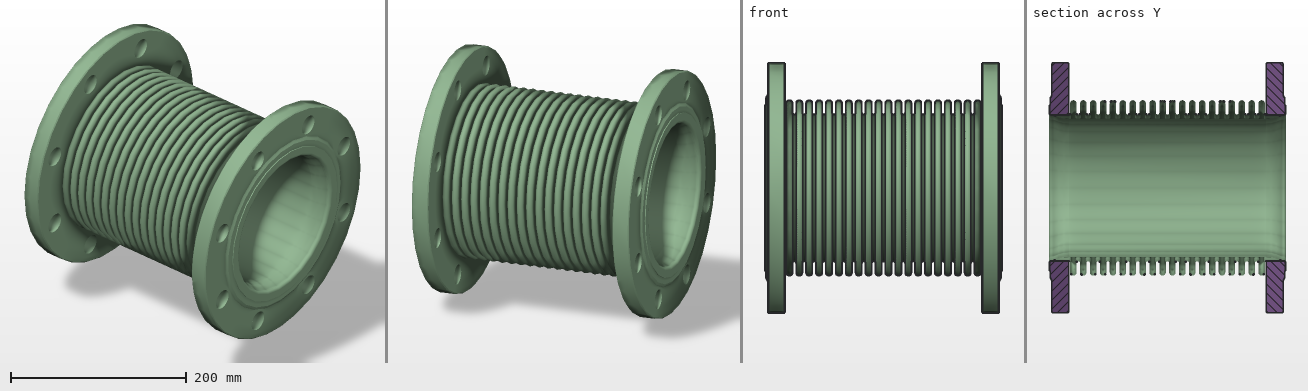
import cadquery as cq
import math

TOTAL_LENGTH = 270.0
WALL = 1.0

FLANGE_DIAMETER = 285.0
FLANGE_THICKNESS = 20.0
FLANGE_CHAMFER = 1.0
FLANGE_BORE = 168.5
RAISED_FACE_DIAMETER = 212.0
RAISED_FACE_HEIGHT = 2.0
RAISED_FACE_TAPER = 3.7
BORE_EDGE_RADIUS = 2.0
BOLT_HOLE_DIAMETER = 23.0
BOLT_CIRCLE_DIAMETER = 240.0
BOLT_COUNT = 8

LIP_DIAMETER = 190.0
WAVE_COUNT = 20
WAVE_SPAN = 214.3
WAVE_PITCH = WAVE_SPAN / (WAVE_COUNT - 1)
WAVE_WIDTH = 7.5
CREST_DIAMETER = 201.2

LINER_DIAMETER = 156.0
WIDE_BEND_RADIUS = 4.0
NARROW_BEND_RADIUS = 34.2
STEP_SETBACK = 3.7

HALF_LENGTH = TOTAL_LENGTH / 2
RAISED_FACE_X = HALF_LENGTH - WALL
FLANGE_FRONT_X = RAISED_FACE_X - RAISED_FACE_HEIGHT
FLANGE_BACK_X = FLANGE_FRONT_X - FLANGE_THICKNESS
BORE_EDGE_X = RAISED_FACE_X - BORE_EDGE_RADIUS
STEP_WIDE_X = HALF_LENGTH - STEP_SETBACK
LAST_WAVE_X = WAVE_SPAN / 2

FLANGE_RADIUS = FLANGE_DIAMETER / 2
BORE_RADIUS = FLANGE_BORE / 2
NECK_RADIUS = BORE_RADIUS - WALL
BORE_EDGE_CENTER_RADIUS = BORE_RADIUS + BORE_EDGE_RADIUS
LIP_BEND_RADIUS = BORE_EDGE_RADIUS + WALL
LINER_RADIUS = LINER_DIAMETER / 2


def revolve_about_x(profile):
    """Turn a closed profile of (x, radius) points fully around the X axis."""
    return profile.close().revolve(360, (0, 0, 0), (1, 0, 0))


def point_on_circle(x, radius, circle_radius, angle):
    """Point (x, radius) on a circle around the given center, at an angle in degrees."""
    turn = math.radians(angle)
    return (x + circle_radius * math.cos(turn), radius + circle_radius * math.sin(turn))


def make_flange():
    """Flange of the +X end, with its raised face outward."""
    raised_foot = RAISED_FACE_DIAMETER / 2
    profile = (
        cq.Workplane("XY")
        .moveTo(FLANGE_BACK_X, BORE_RADIUS)
        .lineTo(FLANGE_BACK_X, FLANGE_RADIUS - FLANGE_CHAMFER)
        .lineTo(FLANGE_BACK_X + FLANGE_CHAMFER, FLANGE_RADIUS)
        .lineTo(FLANGE_FRONT_X - FLANGE_CHAMFER, FLANGE_RADIUS)
        .lineTo(FLANGE_FRONT_X, FLANGE_RADIUS - FLANGE_CHAMFER)
        .lineTo(FLANGE_FRONT_X, raised_foot)
        .lineTo(RAISED_FACE_X, raised_foot - RAISED_FACE_TAPER)
        .lineTo(RAISED_FACE_X, BORE_EDGE_CENTER_RADIUS)
        .threePointArc(
            point_on_circle(BORE_EDGE_X, BORE_EDGE_CENTER_RADIUS, BORE_EDGE_RADIUS, -45),
            (BORE_EDGE_X, BORE_RADIUS),
        )
    )
    bolt_holes = (
        cq.Workplane("YZ")
        .workplane(offset=FLANGE_BACK_X)
        .polarArray(BOLT_CIRCLE_DIAMETER / 2, 180 / BOLT_COUNT, 360, BOLT_COUNT)
        .circle(BOLT_HOLE_DIAMETER / 2)
        .extrude(FLANGE_THICKNESS)
    )
    return revolve_about_x(profile).cut(bolt_holes)


def trace_waves(profile, inset):
    """Continue a profile from -X to +X along the waves, moved into the sheet by the inset."""
    half_width = WAVE_WIDTH / 2 - inset
    crest = CREST_DIAMETER / 2 - inset
    root = BORE_RADIUS - inset
    root_bend = WAVE_PITCH / 2 - half_width
    end_bend = FLANGE_BACK_X - LAST_WAVE_X - half_width
    profile = profile.lineTo(-FLANGE_BACK_X, root)
    for index in range(WAVE_COUNT):
        x = index * WAVE_PITCH - LAST_WAVE_X
        left = x - half_width
        right = x + half_width
        left_bend = end_bend if index == 0 else root_bend
        right_bend = end_bend if index == WAVE_COUNT - 1 else root_bend
        profile = (
            profile
            .threePointArc(
                point_on_circle(left - left_bend, root + left_bend, left_bend, -45),
                (left, root + left_bend),
            )
            .lineTo(left, crest - half_width)
            .threePointArc((x, crest), (right, crest - half_width))
            .lineTo(right, root + right_bend)
            .threePointArc(
                point_on_circle(right + right_bend, root + right_bend, right_bend, -135),
                (right + right_bend, root),
            )
        )
    return profile


def make_bellows_outside():
    """Everything within the outer surface of the lips, necks and waves."""
    lip_radius = LIP_DIAMETER / 2
    bend_middle = point_on_circle(BORE_EDGE_X, BORE_EDGE_CENTER_RADIUS, BORE_EDGE_RADIUS, -45)
    profile = (
        cq.Workplane("XY")
        .moveTo(-HALF_LENGTH, 0)
        .lineTo(-HALF_LENGTH, lip_radius)
        .lineTo(-RAISED_FACE_X, lip_radius)
        .lineTo(-RAISED_FACE_X, BORE_EDGE_CENTER_RADIUS)
        .threePointArc((-bend_middle[0], bend_middle[1]), (-BORE_EDGE_X, BORE_RADIUS))
    )
    profile = (
        trace_waves(profile, 0)
        .lineTo(BORE_EDGE_X, BORE_RADIUS)
        .threePointArc(bend_middle, (RAISED_FACE_X, BORE_EDGE_CENTER_RADIUS))
        .lineTo(RAISED_FACE_X, lip_radius)
        .lineTo(HALF_LENGTH, lip_radius)
        .lineTo(HALF_LENGTH, 0)
    )
    return revolve_about_x(profile)


def make_bellows_inside():
    """Space within the waves and necks, as far as the wide ends of the liner steps."""
    profile = cq.Workplane("XY").moveTo(-STEP_WIDE_X, 0).lineTo(-STEP_WIDE_X, NECK_RADIUS)
    profile = (
        trace_waves(profile, WALL)
        .lineTo(STEP_WIDE_X, NECK_RADIUS)
        .lineTo(STEP_WIDE_X, 0)
    )
    return revolve_about_x(profile)


def liner_step(offset):
    """Points of the +X step, narrow end first, on the liner's inside moved out by the offset.

    The step is two arcs that touch: a large one at the liner and a small one at the neck.
    """
    wide_bend = WIDE_BEND_RADIUS + offset
    narrow_bend = NARROW_BEND_RADIUS - offset
    wide_center = NECK_RADIUS - WIDE_BEND_RADIUS
    narrow_center = LINER_RADIUS + NARROW_BEND_RADIUS
    center_distance = wide_bend + narrow_bend
    arc_angle = math.degrees(math.acos((narrow_center - wide_center) / center_distance))
    narrow_x = STEP_WIDE_X - center_distance * math.sin(math.radians(arc_angle))
    return [
        (narrow_x, narrow_center - narrow_bend),
        point_on_circle(narrow_x, narrow_center, narrow_bend, arc_angle / 2 - 90),
        point_on_circle(narrow_x, narrow_center, narrow_bend, arc_angle - 90),
        point_on_circle(STEP_WIDE_X, wide_center, wide_bend, arc_angle / 2 + 90),
        (STEP_WIDE_X, wide_center + wide_bend),
    ]


def trace_liner(profile, offset):
    """Continue a profile from the wide end of the -X step to that of the +X step."""
    step = liner_step(offset)
    mirrored_step = [(-x, radius) for x, radius in reversed(step)]
    for wall in (mirrored_step, step):
        start, first_middle, joint, last_middle, end = wall
        profile = (
            profile
            .lineTo(*start)
            .threePointArc(first_middle, joint)
            .threePointArc(last_middle, end)
        )
    return profile


def make_liner_outside():
    """Everything within the outer surface of the liner and its steps."""
    profile = trace_liner(cq.Workplane("XY").moveTo(-STEP_WIDE_X, 0), WALL)
    return revolve_about_x(profile.lineTo(STEP_WIDE_X, 0))


def make_passage():
    """Open passage through the lips, necks and liner."""
    bend_middle = point_on_circle(BORE_EDGE_X, BORE_EDGE_CENTER_RADIUS, LIP_BEND_RADIUS, -45)
    profile = (
        cq.Workplane("XY")
        .moveTo(-HALF_LENGTH, 0)
        .lineTo(-HALF_LENGTH, BORE_EDGE_CENTER_RADIUS)
        .threePointArc((-bend_middle[0], bend_middle[1]), (-BORE_EDGE_X, NECK_RADIUS))
    )
    profile = (
        trace_liner(profile, 0)
        .lineTo(BORE_EDGE_X, NECK_RADIUS)
        .threePointArc(bend_middle, (HALF_LENGTH, BORE_EDGE_CENTER_RADIUS))
        .lineTo(HALF_LENGTH, 0)
    )
    return revolve_about_x(profile)


def make_bellows():
    """Lipped bellows with its liner, which encloses the space behind the waves."""
    enclosed_space = make_bellows_inside().cut(make_liner_outside())
    return make_bellows_outside().cut(make_passage()).cut(enclosed_space)


bellows = make_bellows()
flange = make_flange()
flanges = [flange.rotate((0, 0, 0), (0, 0, 1), angle) for angle in (0, 180)]

result = cq.Compound.makeCompound(
    [
        bellows.solids().val(),
        *(body.solids().val() for body in flanges),
    ]
)